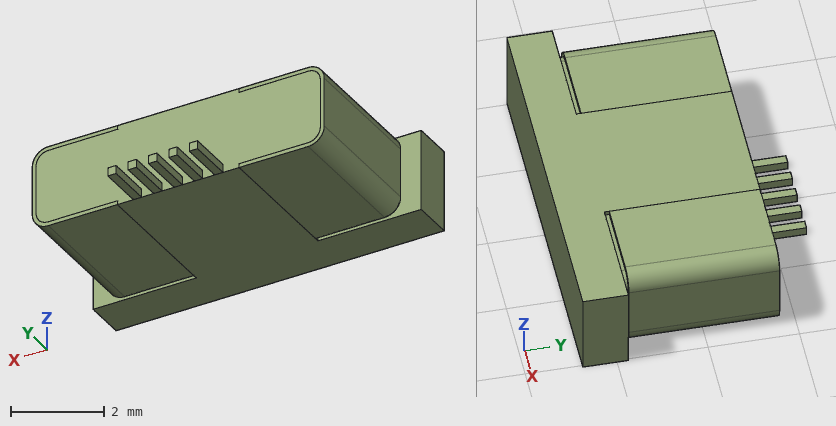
import cadquery as cq

flange_width = 8.1
flange_depth = 1.0
height = 2.0
body_depth = 4.4

clip_outer_width = 7.21
clip_corner_radius = 0.4
clip_thickness = 0.1
clip_gap = 0.105
center_strip_width = 3.005

pin_count = 5
pin_pitch = 0.5
pin_width = 0.2
pin_height = 0.2
pin_length = 1.1

core_width = clip_outer_width - 2 * clip_thickness
core_height = height - 2 * clip_thickness
core_corner_radius = clip_corner_radius - clip_thickness
core_depth = body_depth - flange_depth
clip_front = flange_depth + clip_gap
clip_depth = body_depth - clip_front


def block(width, depth, block_height, front, bottom):
    """Box centered on X, with its front face and bottom face at given places."""
    return (
        cq.Workplane("XY")
        .box(width, depth, block_height, centered=(True, False, False))
        .translate((0, front, bottom))
    )


def rounded_bar(width, bar_height, radius, front, depth):
    """Bar along Y with four rounded edges, centered in the connector height."""
    bar = block(width, depth, bar_height, front, (height - bar_height) / 2)
    return bar.edges("|Y").fillet(radius)


def make_housing():
    """Flange, rounded core and the full-height strip between the clips."""
    flange = block(flange_width, flange_depth, height, 0, 0)
    core = rounded_bar(core_width, core_height, core_corner_radius, flange_depth, core_depth)
    strip = block(center_strip_width, core_depth, height, flange_depth, 0)
    return flange.union(core).union(strip)


def make_clip(side):
    """C-shaped clip around the core end on the given side (-1 or 1) in X."""
    outer = rounded_bar(clip_outer_width, height, clip_corner_radius, clip_front, clip_depth)
    inner = rounded_bar(core_width, core_height, core_corner_radius, clip_front, clip_depth)
    end_width = (clip_outer_width - center_strip_width) / 2
    end_center = side * (clip_outer_width + center_strip_width) / 4
    end_region = block(end_width, clip_depth, height, clip_front, 0).translate((end_center, 0, 0))
    return outer.cut(inner).intersect(end_region)


def make_pin(x):
    """Straight contact pin resting against the housing rear at the bottom."""
    return block(pin_width, pin_length, pin_height, body_depth, 0).translate((x, 0, 0))


housing = make_housing()
clips = [make_clip(side) for side in (-1, 1)]
pins = [make_pin((i - (pin_count - 1) / 2) * pin_pitch) for i in range(pin_count)]

result = cq.Compound.makeCompound(
    [housing.solids().val()]
    + [clip.solids().val() for clip in clips]
    + [pin.solids().val() for pin in pins]
)